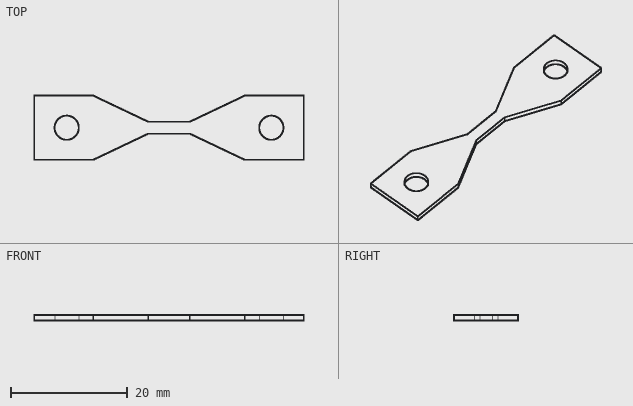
import cadquery as cq

length = 46.1
tab_width = 11.0
thickness = 1.0
tab_length = 10.1
neck_length = 7.1
neck_width = 2.07
hole_diameter = 4.1
hole_spacing = 35.0

half_length = length / 2
half_tab_width = tab_width / 2
half_neck_length = neck_length / 2
half_neck_width = neck_width / 2
shoulder_x = half_length - tab_length

upper_edge = [
    (-half_length, half_tab_width),
    (-shoulder_x, half_tab_width),
    (-half_neck_length, half_neck_width),
    (half_neck_length, half_neck_width),
    (shoulder_x, half_tab_width),
    (half_length, half_tab_width),
]
lower_edge = [(x, -y) for x, y in reversed(upper_edge)]

strip = cq.Workplane("XY").polyline(upper_edge + lower_edge).close().extrude(thickness)

hole_centers = [(-hole_spacing / 2, 0), (hole_spacing / 2, 0)]
result = strip.faces(">Z").workplane(origin=(0, 0, 0)).pushPoints(hole_centers).hole(hole_diameter)